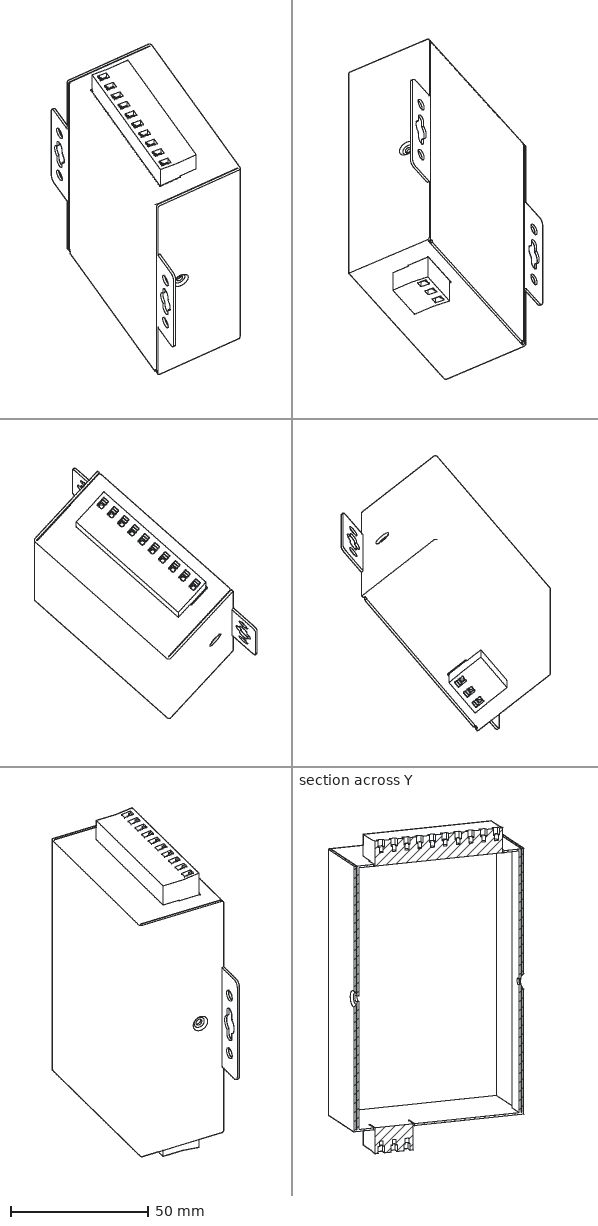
import cadquery as cq


CASE_WIDTH = 66.7
CASE_DEPTH = 35.0
TOTAL_HEIGHT = 119.0
SHEET = 0.9
BEND_RADIUS = 1.0
SEAM_GAP = 0.2
FLANGE_DEPTH = 16.0

POLE_PITCH = 5.02
TOP_POLES = 10
BOTTOM_POLES = 3
BLOCK_LEFT = -POLE_PITCH * TOP_POLES / 2
BLOCK_FRONT = 5.8
BLOCK_BACK = 20.8
BLOCK_RIDGE = 12.6
BLOCK_RISE = 0.8
TOP_BLOCK_HEIGHT = 9.1
BOTTOM_BLOCK_HEIGHT = 9.5
CUTOUT_GAP = 0.4
CUTOUT_BACK = 14.1

ENTRY_WIDTH = 2.3
ENTRY_FRONT = 7.3
ENTRY_BACK = 11.0
ENTRY_DEPTH = 3.0
STEP_WIDTH = 0.75
STEP_COUNT = 2
WIRE_DIAMETER = 1.9
WIRE_DEPTH = 2.0

OVERALL_WIDTH = 90.0
EAR_HEIGHT = 43.0
EAR_RADIUS = 2.2
EAR_HOLE_X = 39.0
EAR_HOLE_OFFSET = 12.5
EAR_HOLE_DIAMETER = 4.1
KEYHOLE_DIAMETER = 7.0
KEYHOLE_SLOT_WIDTH = 3.5
KEYHOLE_LENGTH = 13.6

SCREW_Y = 9.8
SCREW_HEAD_DIAMETER = 6.0
SCREW_DIAMETER = 4.2
THREAD_DIAMETER = 2.4

CASE_HEIGHT = TOTAL_HEIGHT - TOP_BLOCK_HEIGHT - BOTTOM_BLOCK_HEIGHT
MIDDLE_Z = CASE_HEIGHT / 2
TRAY_WIDTH = CASE_WIDTH - 2 * (SHEET + SEAM_GAP)


def block(x_range, y_range, z_range):
    """Box spanning the given (low, high) ranges."""
    size = [high - low for low, high in (x_range, y_range, z_range)]
    corner = (x_range[0], y_range[0], z_range[0])
    return cq.Workplane("XY").box(*size, centered=False).translate(corner)


def make_cover():
    """Back, bottom and side walls, open at the front and the top."""
    half = CASE_WIDTH / 2
    blank = block((-half, half), (0, CASE_DEPTH), (0, CASE_HEIGHT))
    side_bends = blank.edges("|Z and >Y").fillet(BEND_RADIUS)
    bottom_bend = blank.edges("|X and <Z and >Y").fillet(BEND_RADIUS)
    bottom_bend = bottom_bend.edges("|X and <Y").fillet(BEND_RADIUS)
    cover = side_bends.intersect(bottom_bend)
    inner_half = half - SHEET
    cavity = block(
        (-inner_half, inner_half), (0, CASE_DEPTH - SHEET), (SHEET, CASE_HEIGHT)
    )
    front_opening = block((-inner_half, inner_half), (0, SHEET), (0, SHEET))
    return cover.cut(cavity).cut(front_opening)


def make_tray():
    """Front plate, top panel and short side flanges nested inside the cover."""
    half = TRAY_WIDTH / 2
    panel_back = CASE_DEPTH - SHEET
    blank = block((-half, half), (0, panel_back), (0, CASE_HEIGHT))
    side_bends = blank.edges("|Z and <Y").fillet(BEND_RADIUS)
    top_bend = blank.edges("|X and >Z and <Y").fillet(BEND_RADIUS)
    tray = side_bends.intersect(top_bend)
    inner_half = half - SHEET
    inner_top = CASE_HEIGHT - SHEET
    cavity = block((-inner_half, inner_half), (SHEET, panel_back), (0, inner_top))
    behind_flanges = block((-half, half), (FLANGE_DEPTH, panel_back), (0, inner_top))
    below_flanges = block((-half, half), (SHEET, panel_back), (0, SHEET))
    tray = tray.cut(cavity).cut(behind_flanges).cut(below_flanges)
    relief = block((half - BEND_RADIUS, half), (0, FLANGE_DEPTH), (0, SHEET))
    return tray.cut(relief).cut(relief.mirror("YZ"))


def make_ear():
    """Right-hand mounting ear with two round holes and a double keyhole."""
    inner_x = CASE_WIDTH / 2 - SHEET
    low_z = MIDDLE_Z - EAR_HEIGHT / 2
    ear = block((inner_x, OVERALL_WIDTH / 2), (0, SHEET), (low_z, low_z + EAR_HEIGHT))
    ear = ear.edges("|Y and >X").fillet(EAR_RADIUS)
    holes = cq.Workplane("XZ").center(EAR_HOLE_X, MIDDLE_Z)
    round_holes = (
        holes.pushPoints([(0, EAR_HOLE_OFFSET), (0, -EAR_HOLE_OFFSET)])
        .circle(EAR_HOLE_DIAMETER / 2)
        .extrude(-SHEET)
    )
    keyhole_centre = holes.circle(KEYHOLE_DIAMETER / 2).extrude(-SHEET)
    keyhole_slot = holes.slot2D(KEYHOLE_LENGTH, KEYHOLE_SLOT_WIDTH, 90).extrude(-SHEET)
    return ear.cut(round_holes).cut(keyhole_centre).cut(keyhole_slot)


def make_terminal_body(poles, height):
    """Terminal block standing on the top panel, its outer face rising to the front."""
    high_z = CASE_HEIGHT + height
    shoulder_z = high_z - BLOCK_RISE
    base_z = CASE_HEIGHT - SHEET
    return (
        cq.Workplane("YZ", origin=(BLOCK_LEFT, 0, 0))
        .moveTo(BLOCK_FRONT, base_z)
        .lineTo(BLOCK_FRONT, high_z)
        .lineTo(BLOCK_RIDGE, shoulder_z)
        .lineTo(BLOCK_BACK, shoulder_z)
        .lineTo(BLOCK_BACK, base_z)
        .close()
        .extrude(poles * POLE_PITCH)
    )


def make_wire_entry(centre_x, height):
    """Cutter for one wire entry: clamp recess, two steps in front, round bore."""
    high_z = CASE_HEIGHT + height
    floor_z = high_z - ENTRY_DEPTH
    step_height = ENTRY_DEPTH / (STEP_COUNT + 1)
    sides = (centre_x - ENTRY_WIDTH / 2, centre_x + ENTRY_WIDTH / 2)
    clamp_front = ENTRY_FRONT + STEP_COUNT * STEP_WIDTH
    entry = block(sides, (clamp_front, ENTRY_BACK), (floor_z, high_z))
    for index in range(STEP_COUNT):
        step_front = ENTRY_FRONT + index * STEP_WIDTH
        step_z = high_z - (index + 1) * step_height
        entry = entry.union(block(sides, (step_front, clamp_front), (step_z, high_z)))
    bore = (
        cq.Workplane("XY")
        .center(centre_x, (clamp_front + ENTRY_BACK) / 2)
        .workplane(offset=floor_z - WIRE_DEPTH)
        .circle(WIRE_DIAMETER / 2)
        .extrude(WIRE_DEPTH)
    )
    return entry.union(bore)


def add_terminal_block(case, poles, height, at_bottom):
    """Fit a terminal block in a panel cutout with clearance around its front half."""
    right_x = BLOCK_LEFT + poles * POLE_PITCH
    cutout = block(
        (BLOCK_LEFT - CUTOUT_GAP, right_x + CUTOUT_GAP),
        (BLOCK_FRONT - CUTOUT_GAP, CUTOUT_BACK),
        (CASE_HEIGHT - SHEET, CASE_HEIGHT),
    )
    terminal = make_terminal_body(poles, height)
    for index in range(poles):
        entry_x = BLOCK_LEFT + (index + 0.5) * POLE_PITCH
        terminal = terminal.cut(make_wire_entry(entry_x, height))
    if at_bottom:
        mirror_centre = (0, 0, MIDDLE_Z)
        cutout = cutout.mirror("XY", mirror_centre)
        terminal = terminal.mirror("XY", mirror_centre)
    return case.cut(cutout).union(terminal)


def make_screw_hole():
    """Cutter for the right-hand screw hole, countersunk in the cover wall."""
    half = CASE_WIDTH / 2
    flange_depth = 2 * SHEET + SEAM_GAP
    profile = (
        cq.Workplane("XY")
        .moveTo(half, 0)
        .lineTo(half, SCREW_HEAD_DIAMETER / 2)
        .lineTo(half - SHEET, SCREW_DIAMETER / 2)
        .lineTo(half - SHEET, THREAD_DIAMETER / 2)
        .lineTo(half - flange_depth, THREAD_DIAMETER / 2)
        .lineTo(half - flange_depth, 0)
        .close()
    )
    return profile.revolve(360, (0, 0, 0), (1, 0, 0)).translate((0, SCREW_Y, MIDDLE_Z))


right_ear = make_ear()
right_screw_hole = make_screw_hole()

result = make_cover().union(make_tray())
result = result.union(right_ear).union(right_ear.mirror("YZ"))
result = add_terminal_block(result, TOP_POLES, TOP_BLOCK_HEIGHT, at_bottom=False)
result = add_terminal_block(result, BOTTOM_POLES, BOTTOM_BLOCK_HEIGHT, at_bottom=True)
result = result.cut(right_screw_hole).cut(right_screw_hole.mirror("YZ"))